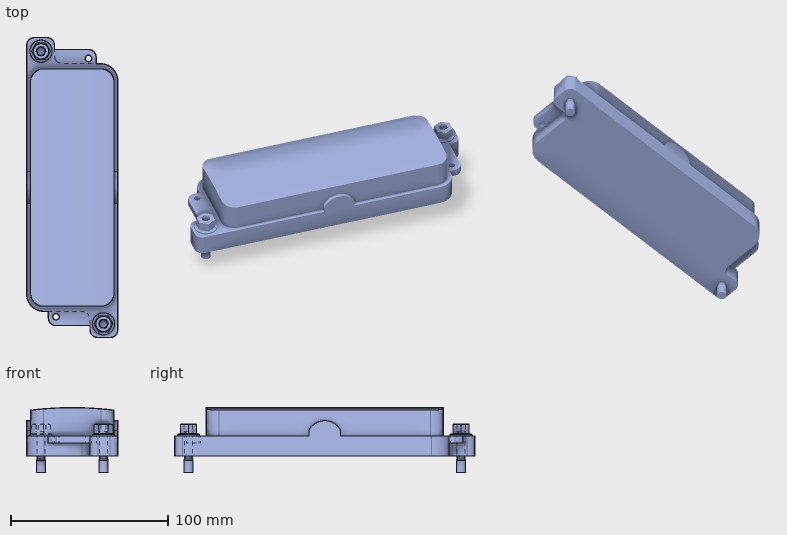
import cadquery as cq
import math

base_width = 58.0
overall_length = 191.0
base_height = 12.8
end_wall_y = 78.9
base_corner_radius = 11.0

ear_width = 17.8
ear_radius = 5.0
lug_end_y = 87.9
lug_side_x = 15.3
lug_thickness = 4.5
lug_hole_x = lug_side_x - ear_radius
lug_hole_y = 82.1
lug_hole_diameter = 4.0

cover_width = 53.1
cover_length = 150.9
cover_height = 18.1
cover_crown = 1.7
cover_corner_radius = 8.2

tab_width = 20.2
tab_straight_height = 3.5
tab_height = 9.7

screw_x = -19.9
screw_y = 86.7
flange_diameter = 14.1
flange_rim_thickness = 1.0
flange_rise = 0.5
head_across_flats = 10.3
head_top_height = 7.5
head_top_diameter = 9.7
head_chamfer_angle = 20
socket_across_flats = 5.3
socket_depth = 4.8
socket_tip_angle = 118
thread_diameter = 6.0
neck_diameter = 5.0
neck_drop = 1.7
neck_taper = 1.0
screw_tip_drop = 10.5

half_width = base_width / 2
half_length = overall_length / 2
ear_inner_x = ear_width - half_width
screw_positions = [(screw_x, screw_y), (-screw_x, -screw_y)]


def half_turn(solid):
    """Copy of a solid turned to the diagonally opposite corner."""
    return solid.rotate((0, 0, 0), (0, 0, 1), 180)


def block(x_min, x_max, y_min, y_max, z_min, z_max):
    """Axis-aligned box between the given limits."""
    size = (x_max - x_min, y_max - y_min, z_max - z_min)
    return cq.Workplane("XY").box(*size, centered=False).translate((x_min, y_min, z_min))


def round_upright_edge(body, x, y, radius):
    """Fillet the vertical edge of the base that stands at (x, y)."""
    edge = body.edges(cq.selectors.NearestToPointSelector((x, y, base_height / 2)))
    return edge.fillet(radius)


def make_base():
    """Full-height block with an ear at the (-X, +Y) and (+X, -Y) corners."""
    outline = [
        (-half_width, half_length),
        (ear_inner_x, half_length),
        (ear_inner_x, end_wall_y),
        (half_width, end_wall_y),
    ]
    opposite = [(-x, -y) for x, y in outline]
    base = cq.Workplane("XY").polyline(outline + opposite).close().extrude(base_height)
    for x, y in outline[:3] + opposite[:3]:
        base = round_upright_edge(base, x, y, ear_radius)
    for x, y in (outline[3], opposite[3]):
        base = round_upright_edge(base, x, y, base_corner_radius)
    return base


def make_lug():
    """Thin drilled lug beside the +Y ear, flush with the top of the base."""
    lug_bottom = base_height - lug_thickness
    inner_y = end_wall_y - base_corner_radius
    lug = block(ear_inner_x - ear_radius, lug_side_x, inner_y, lug_end_y, lug_bottom, base_height)
    lug = lug.edges("|Z and >X and >Y").fillet(ear_radius)
    hole = cq.Workplane("XY").center(lug_hole_x, lug_hole_y).circle(lug_hole_diameter / 2).extrude(base_height)
    return lug.cut(hole)


def make_cover():
    """Rounded block whose top is an arc across its width."""
    side_z = base_height + cover_height - cover_crown
    profile = (
        cq.Workplane("XZ", origin=(0, cover_length / 2, 0))
        .moveTo(-cover_width / 2, 0)
        .lineTo(-cover_width / 2, side_z)
        .threePointArc((0, base_height + cover_height), (cover_width / 2, side_z))
        .lineTo(cover_width / 2, 0)
        .close()
    )
    return profile.extrude(cover_length).edges("|Z").fillet(cover_corner_radius)


def make_tabs():
    """Pair of round-topped tabs, one bar spanning the base width through the cover."""
    shoulder_z = base_height + tab_straight_height
    return (
        cq.Workplane("YZ", origin=(-half_width, 0, 0))
        .moveTo(-tab_width / 2, 0)
        .lineTo(-tab_width / 2, shoulder_z)
        .threePointArc((0, base_height + tab_height), (tab_width / 2, shoulder_z))
        .lineTo(tab_width / 2, 0)
        .close()
        .extrude(base_width)
    )


def make_housing():
    """Base, lugs, cover and tabs in one piece, with a hole for each screw neck."""
    lug = make_lug()
    housing = make_base().union(lug).union(half_turn(lug)).union(make_cover()).union(make_tabs())
    screw_holes = (
        cq.Workplane("XY").pushPoints(screw_positions).circle(neck_diameter / 2).extrude(base_height)
    )
    return housing.cut(screw_holes)


def hex_prism(across_flats, bottom_z, height):
    """Upright hexagonal prism with two corners on the X axis."""
    across_corners = across_flats / math.cos(math.pi / 6)
    return cq.Workplane("XY", origin=(0, 0, bottom_z)).polygon(6, across_corners).extrude(height)


def revolved(profile):
    """Solid of revolution about Z from (radius, z) points."""
    return cq.Workplane("XZ").polyline(profile).close().revolve(360, (0, 0, 0), (0, 1, 0))


def make_shank():
    """Threaded end, captive neck and cone-topped flange."""
    thread_top = -neck_drop - neck_taper
    rim_top = base_height + flange_rim_thickness
    flange_top = rim_top + flange_rise
    return revolved([
        (0, -screw_tip_drop),
        (thread_diameter / 2, -screw_tip_drop),
        (thread_diameter / 2, thread_top),
        (neck_diameter / 2, -neck_drop),
        (neck_diameter / 2, base_height),
        (flange_diameter / 2, base_height),
        (flange_diameter / 2, rim_top),
        (head_across_flats / 2, flange_top),
        (0, flange_top),
    ])


def make_head():
    """Hex head with its top corners trimmed by a cone."""
    head_top = base_height + head_top_height
    trim_radius = head_across_flats
    trim_drop = (trim_radius - head_top_diameter / 2) * math.tan(math.radians(head_chamfer_angle))
    trim = revolved([
        (0, base_height),
        (trim_radius, base_height),
        (trim_radius, head_top - trim_drop),
        (head_top_diameter / 2, head_top),
        (0, head_top),
    ])
    return hex_prism(head_across_flats, base_height, head_top_height).intersect(trim)


def make_socket():
    """Hex socket ending in a drilled cone."""
    head_top = base_height + head_top_height
    floor_z = head_top - socket_depth
    drill_radius = socket_across_flats / 2
    tip_depth = drill_radius / math.tan(math.radians(socket_tip_angle / 2))
    drill_tip = revolved([(0, floor_z - tip_depth), (drill_radius, floor_z), (0, floor_z)])
    return hex_prism(socket_across_flats, floor_z, socket_depth).union(drill_tip)


def make_screw(x, y):
    """Flanged hex screw standing at the given position."""
    return make_shank().union(make_head()).cut(make_socket()).translate((x, y, 0))


housing = make_housing()
screws = [make_screw(x, y) for x, y in screw_positions]

result = cq.Compound.makeCompound([housing.val(), *[screw.val() for screw in screws]])